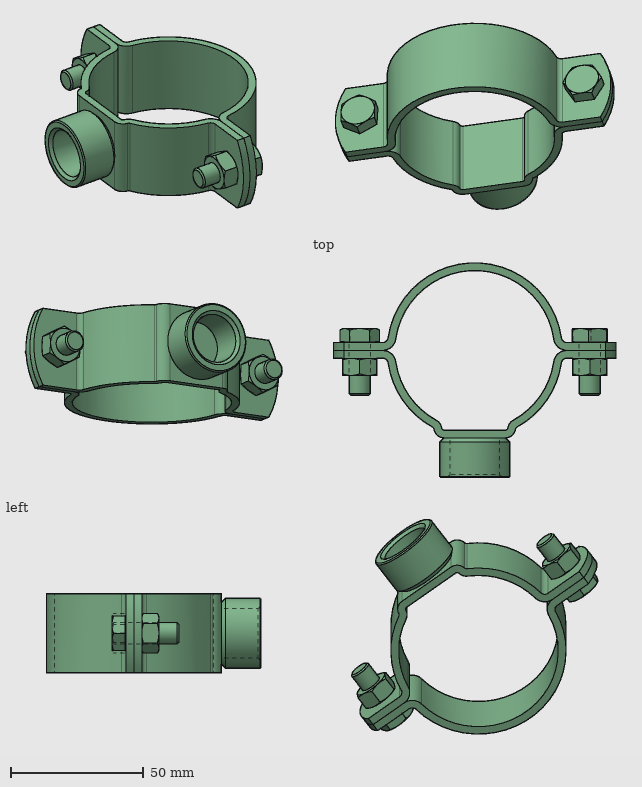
import cadquery as cq
import math


strap_thickness = 3.0
strap_width = 30.0
inner_radius = 60.3 / 2
outer_radius = inner_radius + strap_thickness
ear_bend_radius = 2.0
ear_tip_x = 53.5
ear_tip_radius = 30.0

pad_half_length = 11.5
pad_bend_radius = 1.0
pad_outer_y = -outer_radius

bolt_x = 43.5
bolt_diameter = 8.0
bolt_length = 20.0
bolt_tip_chamfer = 0.6
hex_across_flats = 13.0
hex_across_corners = hex_across_flats / math.cos(math.radians(30))
head_height = 5.3
nut_height = 6.5
hex_chamfer_angle = 30.0
hex_face_diameter = 12.9
washer_face_diameter = 11.6
washer_face_height = 0.25
bolt_turns = {-1: 0.5, 1: 33.0}

socket_diameter = 26.6
socket_length = 15.0
socket_bore = 18.6
socket_mouth = 21.0
socket_weld_chamfer = 1.5
socket_rim_chamfer = 0.5


def point_at(center, radius, degrees):
    """Point on a circle in the XY plane."""
    angle = math.radians(degrees)
    return (center[0] + radius * math.cos(angle), center[1] + radius * math.sin(angle))


def direction(start, end):
    """Heading in degrees from one point to another."""
    return math.degrees(math.atan2(end[1] - start[1], end[0] - start[0]))


def bend(center, radius, start, end):
    """Piece of strap bent about a center; radius is that of the inner side of the bend."""
    wide = radius + strap_thickness
    middle = (start + end) / 2
    return (
        cq.Workplane("XY", origin=(0, 0, -strap_width / 2))
        .moveTo(*point_at(center, radius, start))
        .threePointArc(point_at(center, radius, middle), point_at(center, radius, end))
        .lineTo(*point_at(center, wide, end))
        .threePointArc(point_at(center, wide, middle), point_at(center, wide, start))
        .close()
        .extrude(strap_width)
    )


ear_bend_y = strap_thickness + ear_bend_radius
ear_bend_x = math.sqrt((outer_radius + ear_bend_radius) ** 2 - ear_bend_y**2)
ear_bend_center = (ear_bend_x, ear_bend_y)
ear_angle = direction((0, 0), ear_bend_center)

pad_bend_center = (pad_half_length, pad_outer_y + strap_thickness + pad_bend_radius)
pad_center_distance = math.hypot(*pad_bend_center)
swing_distance = outer_radius + pad_bend_radius
bend_spacing = 2 * pad_bend_radius + strap_thickness
swing_cosine = (pad_center_distance**2 + swing_distance**2 - bend_spacing**2) / (
    2 * pad_center_distance * swing_distance
)
pad_end_angle = direction((0, 0), pad_bend_center) + math.degrees(math.acos(swing_cosine))
swing_center = point_at((0, 0), swing_distance, pad_end_angle)
pad_bend_end = direction(pad_bend_center, swing_center)


def ear():
    """+X ear of the rear half, with its rounded tip and bolt hole."""
    half_width = strap_width / 2
    tip_sagitta = ear_tip_radius - math.sqrt(ear_tip_radius**2 - half_width**2)
    shoulder_x = ear_tip_x - tip_sagitta
    return (
        cq.Workplane("XZ")
        .moveTo(ear_bend_x, -half_width)
        .lineTo(shoulder_x, -half_width)
        .threePointArc((ear_tip_x, 0), (shoulder_x, half_width))
        .lineTo(ear_bend_x, half_width)
        .close()
        .moveTo(bolt_x, 0)
        .circle(bolt_diameter / 2)
        .extrude(-strap_thickness)
    )


def ear_with_bend():
    """+X ear of the rear half and the bend that joins it to the band."""
    return ear().union(bend(ear_bend_center, ear_bend_radius, 180 + ear_angle, 270))


def make_rear_half():
    end = ear_with_bend()
    band = bend((0, 0), inner_radius, ear_angle, 180 - ear_angle)
    return band.union(end).union(end.mirror("YZ"))


def make_front_half():
    side = (
        ear_with_bend()
        .mirror("XZ")
        .union(bend((0, 0), inner_radius, pad_end_angle, -ear_angle))
        .union(bend(swing_center, pad_bend_radius, pad_end_angle + 180, pad_bend_end + 180))
        .union(bend(pad_bend_center, pad_bend_radius, -90, pad_bend_end))
    )
    pad = cq.Workplane("XY").box(2 * pad_half_length, strap_thickness, strap_width)
    pad = pad.translate((0, pad_outer_y + strap_thickness / 2, 0))
    return pad.union(side).union(side.mirror("YZ"))


def hexagon(height, both_ends):
    """Hexagonal block on Z = 0 with its corners chamfered at the top, or at both ends."""
    face_radius = hex_face_diameter / 2
    corner_radius = hex_across_corners / 2
    drop = (corner_radius - face_radius) * math.tan(math.radians(hex_chamfer_angle))
    envelope = cq.Workplane("XZ")
    if both_ends:
        envelope = envelope.lineTo(face_radius, 0).lineTo(corner_radius, drop)
    else:
        envelope = envelope.lineTo(corner_radius, 0)
    envelope = (
        envelope.lineTo(corner_radius, height - drop)
        .lineTo(face_radius, height)
        .lineTo(0, height)
        .close()
        .revolve(360, (0, 0), (0, 1))
    )
    return cq.Workplane("XY").polygon(6, hex_across_corners).extrude(height).intersect(envelope)


def make_bolt(side):
    """Bolt with its head on the rear ear and its tip toward -Y."""
    shank = (
        cq.Workplane("XY")
        .circle(bolt_diameter / 2)
        .extrude(-bolt_length)
        .faces("<Z")
        .chamfer(bolt_tip_chamfer)
    )
    washer_face = cq.Workplane("XY").circle(washer_face_diameter / 2).extrude(washer_face_height)
    head = hexagon(head_height - washer_face_height, both_ends=False).translate((0, 0, washer_face_height))
    bolt = shank.union(washer_face).union(head)
    return (
        bolt.rotate((0, 0, 0), (0, 0, 1), -bolt_turns[side])
        .rotate((0, 0, 0), (1, 0, 0), -90)
        .translate((side * bolt_x, strap_thickness, 0))
    )


def make_nut(side):
    """Nut under the front ear, with two corners along Z."""
    return (
        hexagon(nut_height, both_ends=True)
        .faces(">Z")
        .workplane()
        .hole(bolt_diameter)
        .rotate((0, 0, 0), (0, 0, 1), 30)
        .rotate((0, 0, 0), (1, 0, 0), 90)
        .translate((side * bolt_x, -strap_thickness, 0))
    )


def make_socket():
    """Tube standing on the pad, turned about the Y axis."""
    radius = socket_diameter / 2
    bore_radius = socket_bore / 2
    mouth_radius = socket_mouth / 2
    mouth_depth = mouth_radius - bore_radius
    end_y = pad_outer_y - socket_length
    return (
        cq.Workplane("XY")
        .moveTo(bore_radius, pad_outer_y)
        .lineTo(radius - socket_weld_chamfer, pad_outer_y)
        .lineTo(radius, pad_outer_y - socket_weld_chamfer)
        .lineTo(radius, end_y + socket_rim_chamfer)
        .lineTo(radius - socket_rim_chamfer, end_y)
        .lineTo(mouth_radius, end_y)
        .lineTo(bore_radius, end_y + mouth_depth)
        .close()
        .revolve(360, (0, 0), (0, 1))
    )


rear_half = make_rear_half()
front_half = make_front_half()
socket = make_socket()
bolts = [make_bolt(side) for side in (-1, 1)]
nuts = [make_nut(side) for side in (-1, 1)]

result = cq.Compound.makeCompound(
    [
        rear_half.val(),
        front_half.val(),
        socket.val(),
        *[bolt.val() for bolt in bolts],
        *[nut.val() for nut in nuts],
    ]
)